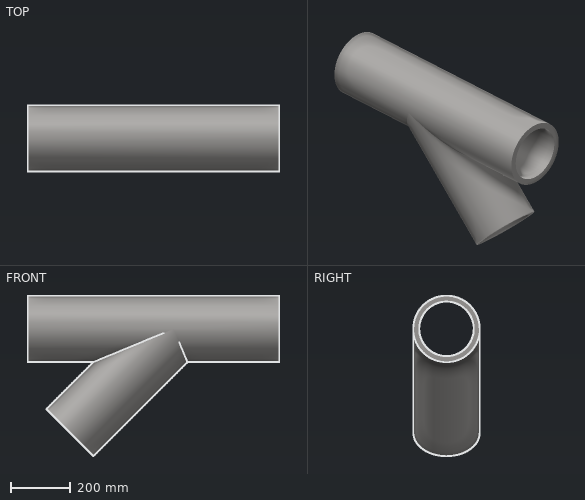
import cadquery as cq
import math

run_length = 850.0
outer_diameter = 225.0
bore_diameter = 184.0
branch_angle = 45.0
branch_length = 496.0
junction_x = 493.0

branch_direction = cq.Vector(
    -math.cos(math.radians(branch_angle)),
    0,
    -math.sin(math.radians(branch_angle)),
)


def run_cylinder(diameter):
    """Cylinder along the whole run."""
    return cq.Workplane("YZ").circle(diameter / 2).extrude(run_length)


def branch_cylinder(diameter):
    """Cylinder from the junction of the axes to the open end of the branch."""
    junction_plane = cq.Plane(
        origin=(junction_x, 0, 0), xDir=(0, 1, 0), normal=branch_direction
    )
    return cq.Workplane(junction_plane).circle(diameter / 2).extrude(branch_length)


def tee(diameter):
    """Run and branch of one diameter, joined."""
    return run_cylinder(diameter).union(branch_cylinder(diameter))


result = tee(outer_diameter).cut(tee(bore_diameter))